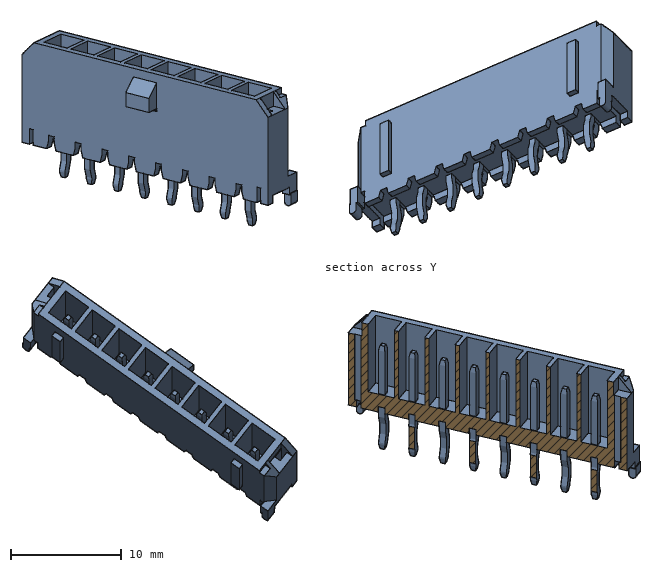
import cadquery as cq

SIDES = (-1, 1)

body_length = 27.57
body_depth = 3.9
body_height = 9.9
half_length = body_length / 2
mid_depth = body_depth / 2

terminal_count = 8
terminal_span = 21.01
pitch = terminal_span / (terminal_count - 1)
cell_size = 2.57
cell_depth = 7.2

end_slope_width = 1.33
end_slope_drop = 1.4
pocket_front_wall = 0.64
pocket_width = 2.0
drain_inset = 0.65
drain_depth = 1.0
step_depth = 0.9
step_drop = 0.58
corner_chamfer = 0.83

foot_front = 0.75
foot_back = 0.58
recess_height = 0.75
end_slot_inset = 0.83
end_slot_width = 0.41
end_slot_height = 1.5
notch_mouth = 1.05
notch_height = 1.33

rear_projection = 0.5
leg_height = 1.9
peg_width = 0.65
peg_depth = 1.0
peg_length = 1.1
peg_bulge = 0.08
peg_bulge_height = 0.17
rib_spacing = 20.18
rib_width = 0.95
rib_bottom = 2.2
rib_top = 8.25

latch_width = 2.6
latch_projection = 1.15
latch_top_drop = 0.83
latch_nose_drop = 2.0
latch_bottom_drop = 3.35
latch_relief = 0.25

pin_y = 2.0
pin_size = 0.64
pin_tip_size = 0.41
pin_tip_length = 0.53
pin_top = body_height - 2.07
pin_bottom = -3.18
pin_offset = 0.25
bend_upper = (0.25, -0.58)
bend_lower = (-1.65, -2.5)

terminal_xs = [-terminal_span / 2 + i * pitch for i in range(terminal_count)]


def box(x_range, y_range, z_range):
    """Axis-aligned box between pairs of limits, given in either order."""
    x0, x1 = sorted(x_range)
    y0, y1 = sorted(y_range)
    z0, z1 = sorted(z_range)
    return cq.Workplane("XY").box(x1 - x0, y1 - y0, z1 - z0, centered=False).translate((x0, y0, z0))


def prism_along_y(points, y_start, y_end):
    """X-Z outline extruded from y_start to y_end."""
    outline = cq.Workplane("XZ", origin=(0, y_start, 0)).polyline(points).close()
    return outline.extrude(y_start - y_end)


def prism_along_x(points, width):
    """Y-Z outline extruded symmetrically about X = 0."""
    return cq.Workplane("YZ").polyline(points).close().extrude(width / 2, both=True)


def make_shell():
    """Block with sloped upper ends and chamfered rear corners."""
    slope_bottom = body_height - end_slope_drop
    outline = [
        (-half_length, 0),
        (half_length, 0),
        (half_length, slope_bottom),
        (half_length - end_slope_width, body_height),
        (-half_length + end_slope_width, body_height),
        (-half_length, slope_bottom),
    ]
    shell = prism_along_y(outline, 0, body_depth)
    for side in SIDES:
        end = side * half_length
        corner = [
            (end, body_depth),
            (end - side * corner_chamfer, body_depth),
            (end, body_depth - corner_chamfer),
        ]
        wedge = cq.Workplane("XY").polyline(corner).close().extrude(body_height)
        shell = shell.cut(wedge)
    return shell


def make_latch():
    """Ramp on the middle of the front wall."""
    outline = [
        (0, body_height - latch_top_drop),
        (-latch_projection, body_height - latch_nose_drop),
        (-latch_projection, body_height - latch_bottom_drop),
        (0, body_height - latch_bottom_drop),
    ]
    return prism_along_x(outline, latch_width)


def make_latch_relief():
    """Shallow recess in the front wall just below the latch, rounded at its inner top."""
    top = body_height - latch_bottom_drop
    recess = box((-latch_width / 2, latch_width / 2), (0, latch_relief), (top - latch_relief, top))
    rounding = (
        cq.Workplane("YZ")
        .center(0, top - latch_relief)
        .circle(latch_relief)
        .extrude(latch_width / 2, both=True)
    )
    return recess.intersect(rounding)


def make_ribs():
    """Two upright ribs on the rear wall."""
    rib = box(
        (-rib_width / 2, rib_width / 2),
        (body_depth, body_depth + rear_projection),
        (rib_bottom, rib_top),
    )
    return [rib.translate((side * rib_spacing / 2, 0, 0)) for side in SIDES]


def make_end_cuts(side):
    """Open pocket, drain, rear step and underside slot at one end."""
    end = side * half_length

    def inset(distance):
        return end - side * distance

    pocket_bottom = body_height - end_slope_drop
    pocket_y = (pocket_front_wall, pocket_front_wall + pocket_width)
    slot_inner = end_slot_inset + end_slot_width
    pocket = box((end, inset(end_slope_width)), pocket_y, (pocket_bottom, body_height))
    drain = box(
        (inset(drain_inset), inset(slot_inner)),
        (pocket_front_wall, pocket_front_wall + drain_depth),
        (end_slot_height, pocket_bottom),
    )
    step = box(
        (end, inset(end_slope_width)),
        (body_depth - step_depth, body_depth),
        (body_height - step_drop, body_height),
    )
    slot = box(
        (inset(end_slot_inset), inset(slot_inner)),
        (0, body_depth),
        (0, end_slot_height),
    )
    return [pocket, drain, step, slot]


def make_leg(side):
    """Square-cornered rear leg below the chamfered corner at one end."""
    end = side * half_length
    return box(
        (end, end - side * end_slot_inset),
        (body_depth - corner_chamfer, body_depth + rear_projection),
        (0, leg_height),
    )


def make_peg(side):
    """Round-ended peg under one rear leg; the +X peg bulges past the housing end."""
    bulge = peg_bulge if side > 0 else 0
    root = peg_bulge_height if side > 0 else 0
    rear = body_depth + rear_projection
    radius = (peg_width + bulge) / 2
    middle = side * (half_length + bulge - radius)
    return (
        cq.Workplane("XZ", origin=(middle, rear, 0))
        .moveTo(-radius, root)
        .lineTo(-radius, radius - peg_length)
        .threePointArc((0, -peg_length), (radius, radius - peg_length))
        .lineTo(radius, root)
        .close()
        .extrude(peg_depth)
    )


def make_notches(x):
    """Flared opening across the underside, with a straight groove from the front to the terminal."""
    half_mouth = notch_mouth / 2
    half_pin = pin_size / 2
    outline = [
        (x - half_mouth, 0),
        (x + half_mouth, 0),
        (x + half_pin, recess_height),
        (x - half_pin, recess_height),
    ]
    flare = prism_along_y(outline, 0, body_depth)
    groove = box((x - half_pin, x + half_pin), (0, pin_y - half_pin), (0, notch_height))
    return [flare, groove]


def make_pin_tip(z, tip_length):
    """Tapered pin end starting at z; a negative length points down."""
    return (
        cq.Workplane("XY", origin=(0, pin_y, z))
        .rect(pin_size, pin_size)
        .workplane(offset=tip_length)
        .rect(pin_tip_size, pin_tip_size)
        .loft()
    )


def make_terminal(x, bend):
    """Square pin with a tapered tip at each end and a tail offset by `bend` in Y."""
    upper_end = pin_top - pin_tip_length
    lower_end = pin_bottom + pin_tip_length
    center_line = [
        (pin_y, upper_end),
        (pin_y, bend_upper[0]),
        (pin_y + bend, bend_upper[1]),
        (pin_y + bend, bend_lower[0]),
        (pin_y, bend_lower[1]),
        (pin_y, lower_end),
    ]
    half = pin_size / 2
    front_edge = [(y - half, z) for y, z in center_line]
    rear_edge = [(y + half, z) for y, z in reversed(center_line)]
    shank = prism_along_x(front_edge + rear_edge, pin_size)
    pin = shank.union(make_pin_tip(upper_end, pin_tip_length))
    pin = pin.union(make_pin_tip(lower_end, -pin_tip_length))
    return pin.translate((x, 0, 0))


housing = make_shell().union(make_latch()).cut(make_latch_relief())
for rib in make_ribs():
    housing = housing.union(rib)
for side in SIDES:
    housing = housing.union(make_leg(side))

underside_recess = box(
    (-half_length, half_length),
    (foot_front, body_depth - foot_back),
    (0, recess_height),
)
housing = housing.cut(underside_recess)

for side in SIDES:
    for end_cut in make_end_cuts(side):
        housing = housing.cut(end_cut)
    housing = housing.union(make_peg(side))

half_cell = cell_size / 2
for x in terminal_xs:
    cell = box(
        (x - half_cell, x + half_cell),
        (mid_depth - half_cell, mid_depth + half_cell),
        (body_height - cell_depth, body_height),
    )
    housing = housing.cut(cell)
    for notch in make_notches(x):
        housing = housing.cut(notch)

result = housing
for index, x in enumerate(terminal_xs):
    bend = pin_offset if index % 2 == 0 else -pin_offset
    result = result.union(make_terminal(x, bend))